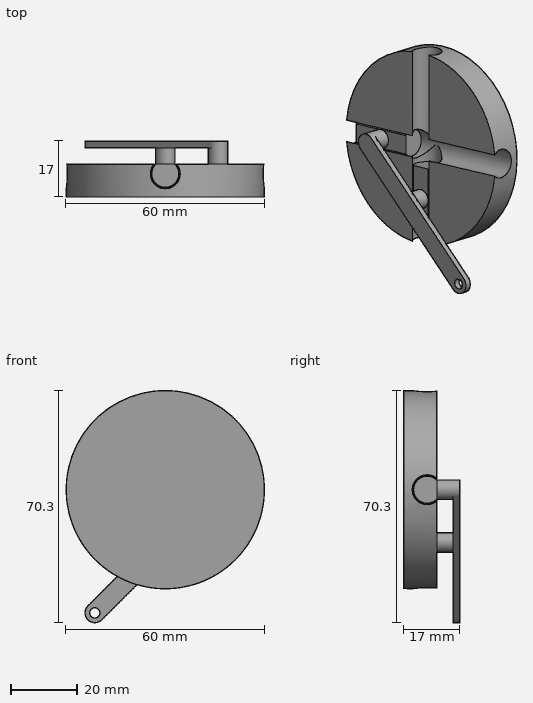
import cadquery as cq
import math


disc_diameter = 60.0
disc_thickness = 10.05
slot_diameter = 8.9
slot_axis_depth = 2.95
slot_axis_y = disc_thickness - slot_axis_depth

slider_diameter = 8.3
slider_length = 19.95
pivot_offset = 15.95

arm_width = 6.0
arm_thickness = 2.05
boss_height = 4.9
handle_hole_diameter = 3.0
overall_height = 70.25
arm_angle = 45
arm_drop = overall_height - disc_diameter / 2 - arm_width / 2
arm_length = arm_drop / math.sin(math.radians(arm_angle))
arm_y = disc_thickness + boss_height

horizontal_pivot = (pivot_offset, 0)
vertical_pivot = (0, -pivot_offset)
handle_hole = (pivot_offset - arm_drop, -arm_drop)


def cylinder_y(diameter, length, start_y, place=(0, 0)):
    """Cylinder running toward +Y from start_y, with its axis at place = (X, Z)."""
    x, z = place
    base = cq.Vector(x, start_y, z)
    return cq.Workplane(cq.Solid.makeCylinder(diameter / 2, length, base, cq.Vector(0, 1, 0)))


def slot_bar(diameter, length, center, direction):
    """Round bar on the slot axis, centred on center = (X, Z)."""
    middle = cq.Vector(center[0], slot_axis_y, center[1])
    start = middle - direction * (length / 2)
    return cq.Workplane(cq.Solid.makeCylinder(diameter / 2, length, start, direction))


def make_disc():
    """Disc with two crossing round slots that break through the +Y face."""
    disc = cylinder_y(disc_diameter, disc_thickness, 0)
    for direction in (cq.Vector(1, 0, 0), cq.Vector(0, 0, 1)):
        disc = disc.cut(slot_bar(slot_diameter, disc_diameter, (0, 0), direction))
    return disc


def make_slider(pivot, direction):
    """Round bar with a flat flush with the slotted face of the disc."""
    bar = slot_bar(slider_diameter, slider_length, pivot, direction)
    envelope = cylinder_y(disc_diameter, disc_thickness, 0)
    return bar.intersect(envelope)


def make_arm():
    """Round-ended bar with a boss on each slider and a handle hole at the free end."""
    center_x = (horizontal_pivot[0] + handle_hole[0]) / 2
    center_z = (horizontal_pivot[1] + handle_hole[1]) / 2
    arm = (
        cq.Workplane("XZ", origin=(center_x, arm_y, center_z))
        .slot2D(arm_length + arm_width, arm_width, arm_angle)
        .extrude(-arm_thickness)
    )
    for pivot in (horizontal_pivot, vertical_pivot):
        arm = arm.union(cylinder_y(arm_width, boss_height, disc_thickness, pivot))
    return arm.cut(cylinder_y(handle_hole_diameter, arm_thickness, arm_y, handle_hole))


disc = make_disc()
arm = make_arm()
slider_layout = [
    (horizontal_pivot, cq.Vector(1, 0, 0)),
    (vertical_pivot, cq.Vector(0, 0, 1)),
]
sliders = [make_slider(pivot, direction) for pivot, direction in slider_layout]

slider_solids = [slider.solids().val() for slider in sliders]

result = cq.Compound.makeCompound([disc.solids().val(), arm.solids().val(), *slider_solids])